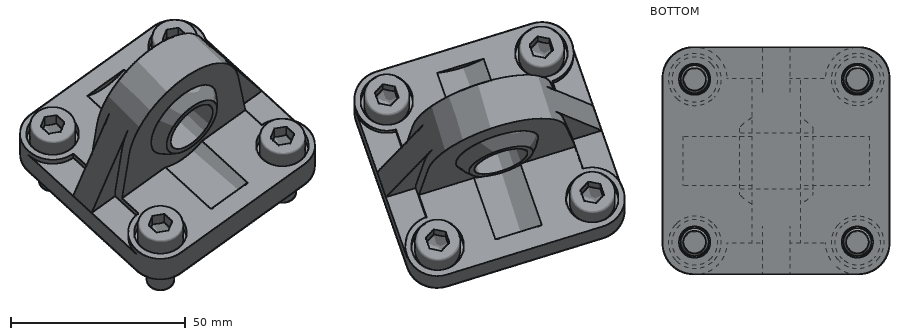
import cadquery as cq
import math

plate_side = 65.0
plate_height = 10.0
corner_radius = 9.0
edge = plate_side / 2

strip_depth = 2.0
strip_inner_y = edge - corner_radius
strip_floor = plate_height - strip_depth

trough_length = 53.3
trough_width = 14.0
trough_radius = 13.3

lug_thickness = 14.0
lug_radius = 21.0
lug_center_z = 26.0
rib_thickness = 8.0

ball_diameter = 28.5
ball_width = 21.0
ball_center_z = 27.0
bore_diameter = 16.0

screw_offset = 23.3
pad_radius = edge - screw_offset
hole_diameter = 9.0
counterbore_diameter = 15.0
head_seat_z = 6.5
head_diameter = 13.0
head_height = 8.0
head_fillet = 0.8
shank_diameter = 8.0
shank_length = 20.0
shank_chamfer = 0.8
hex_across_flats = 6.0
hex_depth = 4.0
drill_point_angle = 120.0

screw_points = [(x, y) for x in (-screw_offset, screw_offset) for y in (-screw_offset, screw_offset)]


def centered_box(length_x, length_y, length_z, bottom_z):
    """Box centred on the Z axis, standing on bottom_z."""
    return cq.Workplane("XY", origin=(0, 0, bottom_z)).box(
        length_x, length_y, length_z, centered=(True, True, False)
    )


def cylinder_along_x(diameter, length, center_z):
    """Cylinder along X, centred on x = y = 0."""
    return cq.Workplane("YZ", origin=(0, 0, center_z)).circle(diameter / 2).extrude(length / 2, both=True)


def make_plate():
    plate = centered_box(plate_side, plate_side, plate_height, 0).edges("|Z").fillet(corner_radius)

    strips = centered_box(2 * screw_offset, plate_side, strip_depth, strip_floor)
    strips = strips.cut(centered_box(plate_side, 2 * strip_inner_y, strip_depth, strip_floor))
    pads = (
        cq.Workplane("XY", origin=(0, 0, strip_floor))
        .pushPoints(screw_points)
        .circle(pad_radius)
        .extrude(strip_depth)
    )
    plate = plate.cut(strips.cut(pads))

    trough_axis_z = plate_height + math.sqrt(trough_radius**2 - (trough_width / 2) ** 2)
    plate = plate.cut(cylinder_along_x(2 * trough_radius, trough_length, trough_axis_z))

    holes = cq.Workplane("XY").pushPoints(screw_points).circle(hole_diameter / 2).extrude(plate_height)
    counterbores = (
        cq.Workplane("XY", origin=(0, 0, head_seat_z))
        .pushPoints(screw_points)
        .circle(counterbore_diameter / 2)
        .extrude(plate_height - head_seat_z)
    )
    return plate.cut(holes).cut(counterbores)


def make_arch(foot_y, foot_z, thickness):
    """Upright slab with a round top whose straight sides run tangent to the two feet."""
    drop = lug_center_z - foot_z
    tangent_angle = math.acos(lug_radius / math.hypot(foot_y, drop)) - math.atan2(drop, foot_y)
    tangent_y = lug_radius * math.cos(tangent_angle)
    tangent_z = lug_center_z + lug_radius * math.sin(tangent_angle)
    return (
        cq.Workplane("YZ")
        .moveTo(-foot_y, foot_z)
        .lineTo(-tangent_y, tangent_z)
        .threePointArc((0, lug_center_z + lug_radius), (tangent_y, tangent_z))
        .lineTo(foot_y, foot_z)
        .close()
        .extrude(thickness / 2, both=True)
    )


def make_ball():
    """Ball truncated by flat faces at both ends, revolved about the bore axis."""
    half_width = ball_width / 2
    ball_radius = ball_diameter / 2
    face_radius = math.sqrt(ball_radius**2 - half_width**2)
    return (
        cq.Workplane("XZ", origin=(0, 0, ball_center_z))
        .moveTo(-half_width, 0)
        .lineTo(-half_width, face_radius)
        .threePointArc((0, ball_radius), (half_width, face_radius))
        .lineTo(half_width, 0)
        .close()
        .revolve(360, (0, 0), (1, 0))
    )


def make_screw():
    """Socket head screw on the Z axis, with its head seated in the counterbore."""
    head_top = head_seat_z + head_height
    head = cq.Workplane("XY", origin=(0, 0, head_seat_z)).circle(head_diameter / 2).extrude(head_height)
    head = head.edges(">Z").fillet(head_fillet)
    shank = cq.Workplane("XY", origin=(0, 0, head_seat_z)).circle(shank_diameter / 2).extrude(-shank_length)
    shank = shank.edges("<Z").chamfer(shank_chamfer)

    hex_across_corners = hex_across_flats / math.cos(math.pi / 6)
    cone_slope = 1 / math.tan(math.radians(drill_point_angle / 2))
    tip_depth = hex_depth + cone_slope * hex_across_corners / 2
    drill_radius = head_diameter / 2
    drill = (
        cq.Workplane("XZ", origin=(0, 0, head_top))
        .polyline([
            (0, 0),
            (drill_radius, 0),
            (drill_radius, cone_slope * drill_radius - tip_depth),
            (0, -tip_depth),
        ])
        .close()
        .revolve(360, (0, 0), (0, 1))
    )
    socket = cq.Workplane("XY", origin=(0, 0, head_top)).polygon(6, hex_across_corners).extrude(-tip_depth)
    return head.union(shank).cut(socket.intersect(drill))


lug = make_arch(strip_inner_y, plate_height, lug_thickness)
ribs = make_arch(edge, strip_floor, rib_thickness)

lug_foot = centered_box(lug_thickness, 2 * strip_inner_y, plate_height, 0)

result = make_plate().union(lug_foot).union(lug).union(ribs).union(make_ball())
result = result.cut(cylinder_along_x(bore_diameter, ball_width, ball_center_z))

screw = make_screw()
for x, y in screw_points:
    result = result.union(screw.translate((x, y, 0)))